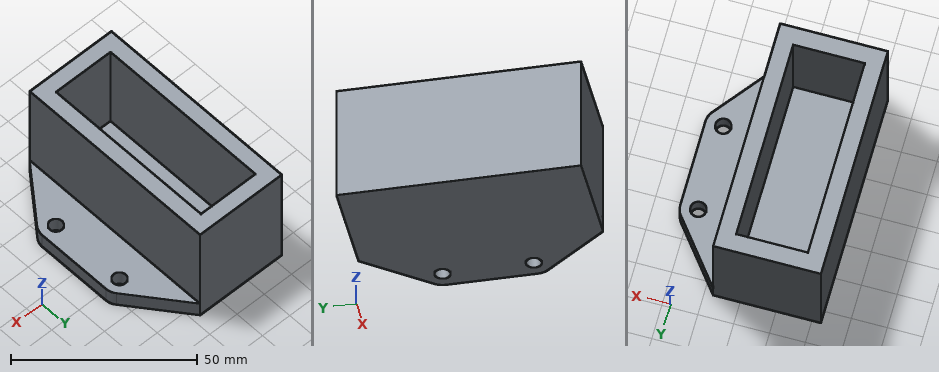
import cadquery as cq
import math

box_width = 30.0
box_length = 67.0
box_height = 35.0
wall = 5.0
flange_reach = 15.0
flange_thickness = 5.0
corner_radius = 5.0
hole_diameter = 4.35
hole_spacing = 25.0

half_length = box_length / 2
flange_end = box_width + flange_reach
hole_x = flange_end - corner_radius
hole_y = hole_spacing / 2


def make_box():
    """Open-topped rectangular box with its left face at X = 0."""
    outer = cq.Workplane("XY").box(box_width, box_length, box_height, centered=(False, True, False))
    cavity = (
        cq.Workplane("XY")
        .box(box_width - 2 * wall, box_length - 2 * wall, box_height - wall, centered=(False, True, False))
        .translate((wall, 0, wall))
    )
    return outer.cut(cavity)


def corner_point(angle):
    """Point on the upper rounded corner at the given angle from +X."""
    return (
        hole_x + corner_radius * math.cos(angle),
        hole_y + corner_radius * math.sin(angle),
    )


def mirrored(point):
    """Reflect a point across the X axis."""
    return (point[0], -point[1])


def make_flange():
    """Tapered plate whose slanted sides run tangent to the rounded corners."""
    box_corner = (box_width, half_length)
    run_x = box_width - hole_x
    run_y = half_length - hole_y
    tangent_angle = math.atan2(run_y, run_x) - math.acos(corner_radius / math.hypot(run_x, run_y))

    arc_start = corner_point(tangent_angle)
    arc_middle = corner_point(tangent_angle / 2)
    arc_end = corner_point(0)

    plate = (
        cq.Workplane("XY")
        .moveTo(*box_corner)
        .lineTo(*arc_start)
        .threePointArc(arc_middle, arc_end)
        .lineTo(*mirrored(arc_end))
        .threePointArc(mirrored(arc_middle), mirrored(arc_start))
        .lineTo(*mirrored(box_corner))
        .close()
        .extrude(flange_thickness)
    )
    holes = (
        cq.Workplane("XY")
        .pushPoints([(hole_x, hole_y), (hole_x, -hole_y)])
        .circle(hole_diameter / 2)
        .extrude(flange_thickness)
    )
    return plate.cut(holes)


result = make_box().union(make_flange())